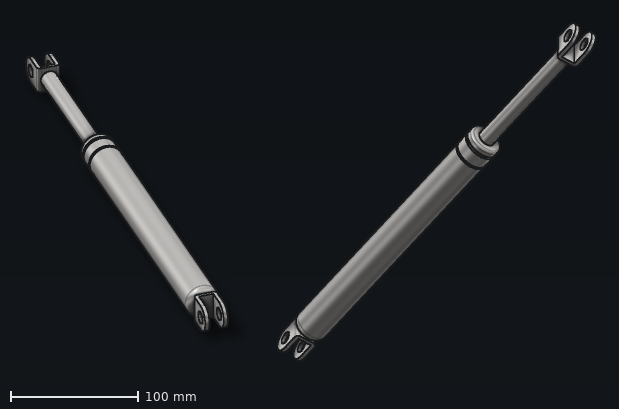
import cadquery as cq

total_length = 408.0

clevis_height = 22.0
clevis_width = 19.0
ear_thickness = 3.5
base_thickness = 3.0
clevis_length = 27.0
bend_radius = 3.3
eye_diameter = 10.0
ear_radius = clevis_height / 2

rod_diameter = 14.0
rod_radius = rod_diameter / 2

tube_radius = 28.0 / 2
tube_start = 136.0
front_fillet = 2.0
bore_depth = 20.5
groove_center = 142.8
groove_radius = 1.2
crimp_center = 156.3
crimp_radius = 1.0

neck_radius = 7.5
shoulder_radius = tube_radius - neck_radius
shoulder_start = 373.7
shoulder_end = shoulder_start + shoulder_radius
neck_end = total_length - clevis_length + base_thickness


def make_clevis():
    """U-shaped clevis with ear tips at X = 0, opening toward -X."""
    strip = (
        cq.Workplane("XY")
        .box(clevis_length, clevis_width, clevis_height, centered=(False, True, True))
        .edges("|Z and >X")
        .fillet(bend_radius)
    )
    gap_width = clevis_width - 2 * ear_thickness
    gap = cq.Workplane("XY").box(
        clevis_length - base_thickness, gap_width, clevis_height, centered=(False, True, True)
    )
    eye_plane = cq.Workplane("XZ", origin=(ear_radius, 0, 0))
    round_tip = eye_plane.circle(ear_radius).extrude(clevis_width / 2, both=True)
    straight = cq.Workplane("XY", origin=(ear_radius, 0, 0)).box(
        clevis_length - ear_radius, clevis_width, clevis_height, centered=(False, True, True)
    )
    eye = eye_plane.circle(eye_diameter / 2).extrude(clevis_width, both=True)
    return strip.cut(gap).intersect(straight.union(round_tip)).cut(eye)


def make_ring(center, radius):
    """Ring of round section that cuts a groove into the tube surface."""
    return (
        cq.Workplane("XY")
        .center(center, tube_radius)
        .circle(radius)
        .revolve(360, (-4, -tube_radius, 0), (4, -tube_radius, 0))
    )


def make_rod():
    """Piston rod that carries the front clevis and ends in the tube bore."""
    shaft_start = clevis_length - base_thickness
    rod_length = tube_start + bore_depth - shaft_start
    shaft = cq.Workplane("YZ", origin=(shaft_start, 0, 0)).circle(rod_radius).extrude(rod_length)
    return make_clevis().union(shaft)


def make_cylinder():
    """Tube with a rounded closed end, two ring grooves, a rod bore and the rear clevis."""
    tube = (
        cq.Workplane("XY")
        .moveTo(tube_start, 0)
        .lineTo(tube_start, tube_radius - front_fillet)
        .radiusArc((tube_start + front_fillet, tube_radius), front_fillet)
        .lineTo(shoulder_start, tube_radius)
        .radiusArc((shoulder_end, neck_radius), shoulder_radius)
        .lineTo(neck_end, neck_radius)
        .lineTo(neck_end, 0)
        .close()
        .revolve(360, (0, 0, 0), (1, 0, 0))
    )
    for center, radius in ((groove_center, groove_radius), (crimp_center, crimp_radius)):
        tube = tube.cut(make_ring(center, radius))
    bore = cq.Workplane("YZ", origin=(tube_start, 0, 0)).circle(rod_radius).extrude(bore_depth)
    rear_clevis = make_clevis().mirror("YZ").translate((total_length, 0, 0))
    return tube.cut(bore).union(rear_clevis)


rod = make_rod()
cylinder = make_cylinder()

result = cq.Compound.makeCompound([rod.val(), cylinder.val()])